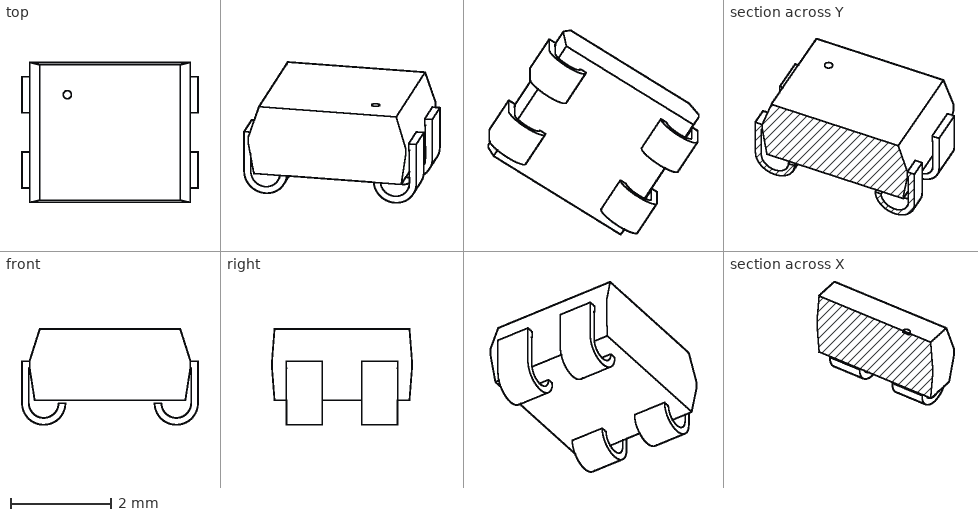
import cadquery as cq

OVERALL_LENGTH = 3.51
OVERALL_HEIGHT = 1.91

HOUSING_LENGTH = 3.2
HOUSING_WIDTH = 2.79
BAND_HEIGHT = 0.165
TAPER_HEIGHT = 0.63
TOP_END_INSET = 0.2
BOTTOM_END_INSET = 0.1
SIDE_INSET = 0.05

LEAD_THICKNESS = 0.14
LEAD_WIDTH = 0.72
LEAD_PITCH = 1.5
LEAD_TOP_DROP = 0.01
HOOK_OUTER_RADIUS = 0.435

MARKER_DIAMETER = 0.16
MARKER_DEPTH = 0.035
MARKER_X = -0.85
MARKER_Y = 0.75

BAND_TOP = OVERALL_HEIGHT - TAPER_HEIGHT
BAND_BOTTOM = BAND_TOP - BAND_HEIGHT
LEAD_TOP = BAND_TOP - LEAD_TOP_DROP


def make_tapered_block(start_level, height, end_inset):
    """Loft from the full housing outline to a smaller one; a negative height goes down."""
    return (
        cq.Workplane("XY")
        .workplane(offset=start_level)
        .rect(HOUSING_LENGTH, HOUSING_WIDTH)
        .workplane(offset=height)
        .rect(HOUSING_LENGTH - 2 * end_inset, HOUSING_WIDTH - 2 * SIDE_INSET)
        .loft(ruled=True)
    )


def make_marker():
    return (
        cq.Workplane("XY")
        .workplane(offset=OVERALL_HEIGHT - MARKER_DEPTH)
        .center(MARKER_X, MARKER_Y)
        .circle(MARKER_DIAMETER / 2)
        .extrude(MARKER_DEPTH)
    )


def make_housing(marker):
    """Build the housing with a recess that fits the marker."""
    band = (
        cq.Workplane("XY")
        .workplane(offset=BAND_BOTTOM)
        .rect(HOUSING_LENGTH, HOUSING_WIDTH)
        .extrude(BAND_HEIGHT)
    )
    upper_block = make_tapered_block(BAND_TOP, TAPER_HEIGHT, TOP_END_INSET)
    lower_block = make_tapered_block(BAND_BOTTOM, -TAPER_HEIGHT, BOTTOM_END_INSET)
    return band.union(upper_block).union(lower_block).cut(marker)


def make_left_lead():
    """Build a lead at the -X end, centred on Y: short arm, straight leg and half-round hook."""
    outer_x = -OVERALL_LENGTH / 2
    inner_x = outer_x + LEAD_THICKNESS
    housing_x = -HOUSING_LENGTH / 2
    hook_x = outer_x + HOOK_OUTER_RADIUS
    hook_z = HOOK_OUTER_RADIUS
    hook_inner_radius = HOOK_OUTER_RADIUS - LEAD_THICKNESS
    arm_bottom = LEAD_TOP - LEAD_THICKNESS
    return (
        cq.Workplane("XZ")
        .moveTo(housing_x, LEAD_TOP)
        .lineTo(outer_x, LEAD_TOP)
        .lineTo(outer_x, hook_z)
        .threePointArc((hook_x, 0), (hook_x + HOOK_OUTER_RADIUS, hook_z))
        .lineTo(hook_x + hook_inner_radius, hook_z)
        .threePointArc((hook_x, LEAD_THICKNESS), (inner_x, hook_z))
        .lineTo(inner_x, arm_bottom)
        .lineTo(housing_x, arm_bottom)
        .close()
        .extrude(LEAD_WIDTH / 2, both=True)
    )


def make_leads():
    """Place two leads at each end of the housing."""
    left_lead = make_left_lead()
    right_lead = left_lead.mirror("YZ")
    leads = []
    for lead in (left_lead, right_lead):
        for lead_y in (-LEAD_PITCH / 2, LEAD_PITCH / 2):
            leads.append(lead.translate((0, lead_y, 0)).val())
    return leads


marker = make_marker()
housing = make_housing(marker)
leads = make_leads()

result = cq.Compound.makeCompound([housing.val(), marker.val(), *leads])